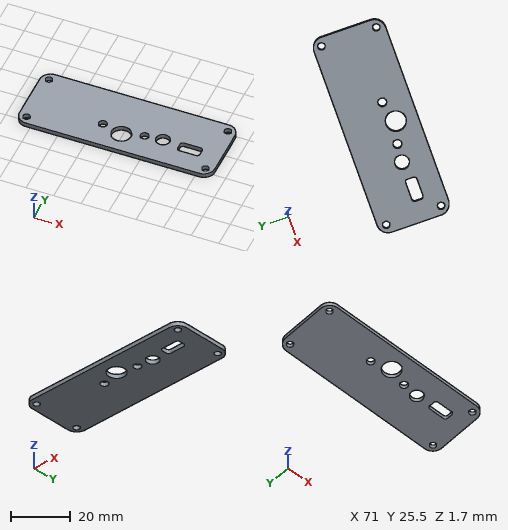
import cadquery as cq

length = 71.0
width = 25.5
thickness = 1.7
corner_radius = 4.0

mounting_hole_diameter = 2.5
mounting_hole_inset = 3.0

large_hole_diameter = 7.0
large_hole_y = -5.2
small_hole_diameter = 3.0
small_hole_offset_x = 7.6
small_hole_y = -3.05

medium_hole_diameter = 5.0
medium_hole_x = 14.0
medium_hole_y = -2.4

window_length = 8.0
window_width = 4.0
window_corner_radius = 1.0
window_x = 24.15
window_y = -3.2


def rounded_block(block_length, block_width, radius):
    """Block of plate thickness with rounded vertical edges."""
    block = cq.Workplane("XY").box(block_length, block_width, thickness)
    return block.edges("|Z").fillet(radius)


def drill(body, centres, diameter):
    """Cut through holes of one diameter at the given XY centres."""
    return body.faces(">Z").workplane(origin=(0, 0, 0)).pushPoints(centres).hole(diameter)


plate = rounded_block(length, width, corner_radius)

mounting_x = length / 2 - mounting_hole_inset
mounting_y = width / 2 - mounting_hole_inset
mounting_centres = [(side_x * mounting_x, side_y * mounting_y) for side_x in (-1, 1) for side_y in (-1, 1)]
small_centres = [(side * small_hole_offset_x, small_hole_y) for side in (-1, 1)]

plate = drill(plate, mounting_centres, mounting_hole_diameter)
plate = drill(plate, small_centres, small_hole_diameter)
plate = drill(plate, [(0, large_hole_y)], large_hole_diameter)
plate = drill(plate, [(medium_hole_x, medium_hole_y)], medium_hole_diameter)

window = rounded_block(window_length, window_width, window_corner_radius)
result = plate.cut(window.translate((window_x, window_y, 0)))